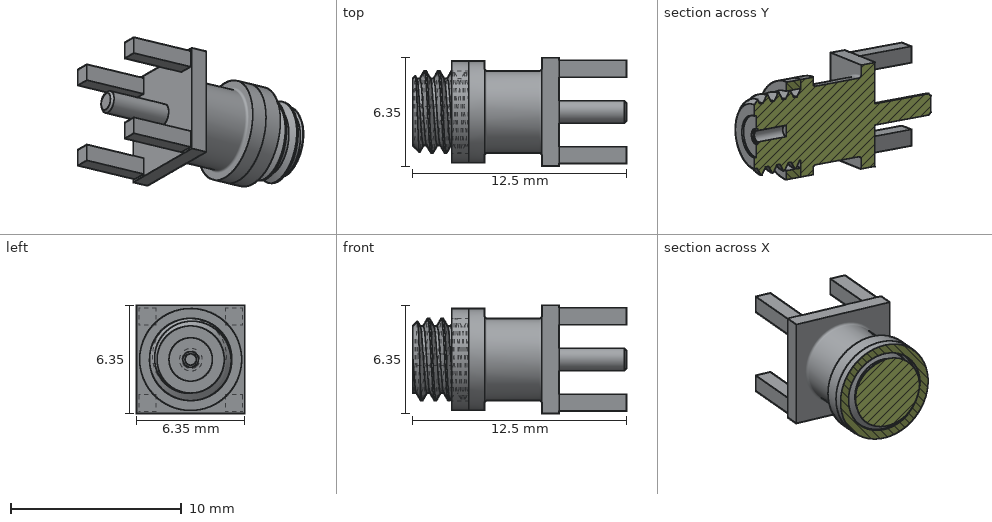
import cadquery as cq
import math

ring_front = 2.28
ring_thickness = 1.0
flange_front = ring_front + ring_thickness
flange_back = 4.21
plate_front = 7.56
plate_thickness = 1.0
overall_length = 12.52
plate_back = plate_front + plate_thickness

plate_side = 6.35
flange_diameter = 5.97
barrel_diameter = 4.82
barrel_fillet = 0.15

thread_pitch = 0.8
thread_root_radius = 1.97
thread_crest_radius = barrel_diameter / 2
thread_crest_width = 0.1
thread_flank_angle = 30.0
thread_start = -0.28
thread_embed = 0.05
thread_end_overlap = 0.25

leg_side = 1.0
leg_outer = 3.03
leg_center = leg_outer - leg_side / 2

face_recess_diameter = 2.54
face_recess_depth = 0.13

contact_front = 0.25
contact_diameter = 0.91
socket_diameter = 0.66
socket_depth = 2.0
tail_diameter = 1.33
tail_chamfer = 0.15


def rod(diameter, start, end):
    """Cylinder on the connector axis between two X stations."""
    return cq.Workplane("YZ", origin=(start, 0, 0)).circle(diameter / 2).extrude(end - start)


def make_thread_envelope():
    """Cylinder wider than the thread, with a 45 degree lead-in from the root radius."""
    end = flange_front + thread_end_overlap
    lead_in = flange_diameter / 2 - thread_root_radius
    return rod(flange_diameter, 0, end).faces("<X").chamfer(lead_in)


def make_thread_ridge():
    """Right-handed trapezoidal ridge, trimmed to the thread envelope."""
    base_radius = thread_root_radius - thread_embed
    crest_half = thread_crest_width / 2
    flank_run = (thread_crest_radius - base_radius) * math.tan(math.radians(thread_flank_angle))
    base_half = crest_half + flank_run
    helix_length = flange_front + thread_end_overlap - thread_start
    helix = cq.Workplane(obj=cq.Wire.makeHelix(thread_pitch, helix_length, base_radius))
    ridge = (
        cq.Workplane("XZ")
        .moveTo(base_radius, -base_half)
        .lineTo(thread_crest_radius, -crest_half)
        .lineTo(thread_crest_radius, crest_half)
        .lineTo(base_radius, base_half)
        .close()
        .sweep(helix, isFrenet=True)
    )
    ridge = ridge.rotate((0, 0, 0), (0, 1, 0), 90).translate((thread_start, 0, 0))
    return ridge.intersect(make_thread_envelope())


def make_barrel():
    """Plain barrel, flaring with a fillet into the flange and the plate."""
    barrel = rod(barrel_diameter, flange_back, plate_front)
    flange = rod(flange_diameter, flange_front, flange_back)
    plate = cq.Workplane("YZ", origin=(plate_front, 0, 0)).rect(plate_side, plate_side)
    plate = plate.extrude(plate_thickness)
    body = flange.union(barrel).union(plate)
    joints = body.edges(cq.selectors.RadiusNthSelector(0))
    return joints.fillet(barrel_fillet)


def make_legs():
    """Four square legs behind the corners of the plate."""
    corners = [(y * leg_center, z * leg_center) for y in (-1, 1) for z in (-1, 1)]
    legs = cq.Workplane("YZ", origin=(plate_back, 0, 0)).pushPoints(corners)
    return legs.rect(leg_side, leg_side).extrude(overall_length - plate_back)


def make_contact_tail():
    """Round solder pin on the axis, chamfered at its free end."""
    return rod(tail_diameter, plate_back, overall_length).faces(">X").chamfer(tail_chamfer)


def make_housing():
    """Threaded front, flange, barrel, plate and pins, with the stepped socket in the mating face."""
    body = make_barrel().union(rod(2 * thread_root_radius, 0, flange_front))
    body = body.union(make_thread_ridge()).union(make_legs()).union(make_contact_tail())
    body = body.cut(rod(face_recess_diameter, 0, face_recess_depth))
    body = body.cut(rod(contact_diameter, 0, contact_front))
    return body.cut(rod(socket_diameter, 0, contact_front + socket_depth))


def make_ring():
    """Ring that slides over the thread crests and rests against the flange."""
    blank = rod(flange_diameter, ring_front, flange_front)
    return blank.cut(rod(barrel_diameter, ring_front, flange_front))


housing = make_housing()
ring = make_ring()
result = cq.Compound.makeCompound([housing.val(), ring.val()])